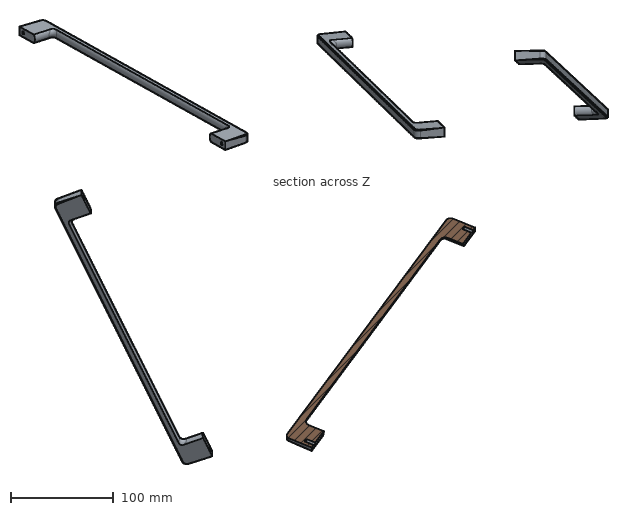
import cadquery as cq
import math

length = 332.0
depth = 30.0
height = 9.3

bar_depth = 7.5
leg_width = 25.2
crown = 2.0
inner_fillet = 5.3
outer_radius = 5.0

edge_break = 1.0

hole_spacing = 320.0
hole_diameter = 3.0
hole_depth = 10.0

half_length = length / 2
half_height = height / 2
back_y = depth / 2
foot_y = -depth / 2
bar_y = back_y - bar_depth
tangent_y = back_y - outer_radius
leg_x = half_length - leg_width


def make_bar():
    """Grip bar with a flat back and a convex inner side, run along X."""
    return (
        cq.Workplane("YZ", origin=(-half_length, 0, 0))
        .moveTo(back_y, -half_height)
        .lineTo(back_y, half_height)
        .lineTo(bar_y + crown, half_height)
        .threePointArc((bar_y, 0), (bar_y + crown, -half_height))
        .close()
        .extrude(length)
    )


def make_leg(side):
    """Leg at the left (-1) or right (1) end, convex on its inner side."""
    edge_x = side * (leg_x + crown)
    return (
        cq.Workplane("XZ", origin=(0, back_y, 0))
        .moveTo(side * half_length, -half_height)
        .lineTo(side * half_length, half_height)
        .lineTo(edge_x, half_height)
        .threePointArc((side * leg_x, 0), (edge_x, -half_height))
        .close()
        .extrude(depth)
    )


def make_back_break(level):
    """Triangular strip along the top (1) or bottom (-1) back edge and its round corners."""
    z = level * half_height
    mid_offset = outer_radius * math.sqrt(0.5)
    path = (
        cq.Workplane("XY", origin=(0, 0, z))
        .moveTo(-half_length, tangent_y)
        .threePointArc(
            (-half_length + outer_radius - mid_offset, tangent_y + mid_offset),
            (-half_length + outer_radius, back_y),
        )
        .lineTo(half_length - outer_radius, back_y)
        .threePointArc(
            (half_length - outer_radius + mid_offset, tangent_y + mid_offset),
            (half_length, tangent_y),
        )
    )
    return (
        cq.Workplane("XZ", origin=(0, tangent_y, 0))
        .moveTo(-half_length, z)
        .lineTo(-half_length + edge_break, z)
        .lineTo(-half_length, z - level * edge_break)
        .close()
        .sweep(path)
    )


def make_end_break(side, level):
    """Wedge that breaks an outer leg edge, fading out towards the foot."""
    x = side * half_length
    z = level * half_height
    corner = cq.Vector(x, tangent_y, z)
    inward = cq.Vector(x - side * edge_break, tangent_y, z)
    across = cq.Vector(x, tangent_y, z - level * edge_break)
    tip = cq.Vector(x, foot_y, z)
    triangles = [
        (corner, inward, across),
        (corner, inward, tip),
        (corner, across, tip),
        (inward, across, tip),
    ]
    faces = []
    for triangle in triangles:
        outline = cq.Wire.makePolygon(triangle, close=True)
        faces.append(cq.Face.makeFromWires(outline))
    return cq.Workplane(cq.Solid.makeSolid(cq.Shell.makeShell(faces)))


body = make_bar().union(make_leg(-1)).union(make_leg(1))
body = body.edges("%ELLIPSE").fillet(inner_fillet)

body = body.edges("|Z and >Y").fillet(outer_radius)

for level in (-1, 1):
    body = body.cut(make_back_break(level))
    for side in (-1, 1):
        body = body.cut(make_end_break(side, level))

holes = (
    cq.Workplane("XZ", origin=(0, foot_y, 0))
    .pushPoints([(-hole_spacing / 2, 0), (hole_spacing / 2, 0)])
    .circle(hole_diameter / 2)
    .extrude(-hole_depth)
)
result = body.cut(holes).solids()